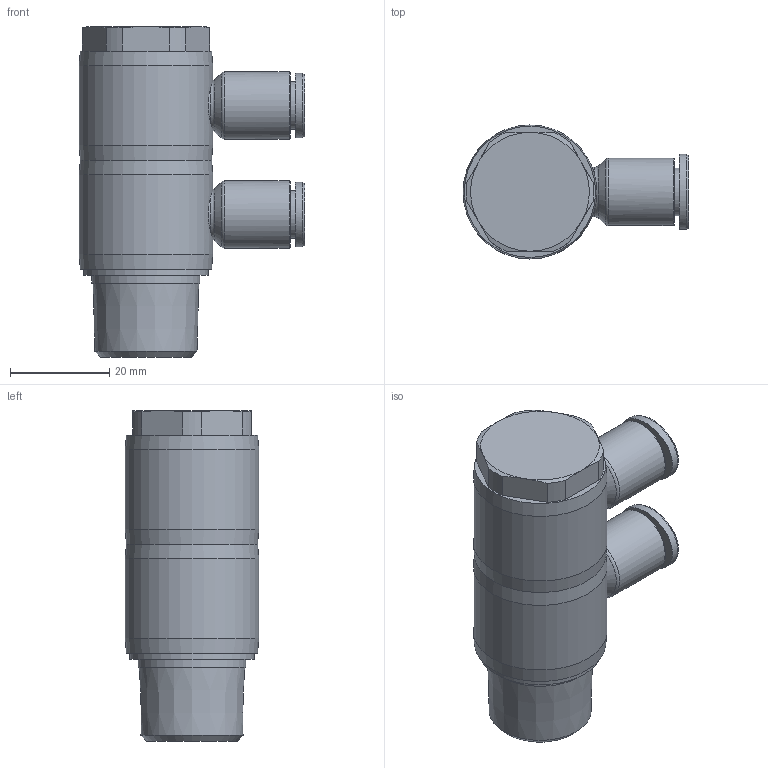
import cadquery as cq
import math

head_height = 4.95
head_across_flats = 24.0
head_corner_diameter = 25.8
head_chamfer_height = 0.25

body_count = 2
body_height = 22.0
body_radius = 13.5
body_end_radius = 13.25
body_taper_height = 3.0

stem_chamfer_radius = 9.2
stem_tip_radius = 10.3
stem_root_radius = 10.65
stem_chamfer_height = 1.2
flange_radius = 10.9
flange_bottom = 15.0
washer_radius = 12.6
washer_bottom = 16.55
bodies_bottom = 17.85
bodies_top = bodies_bottom + body_count * body_height

neck_radius = 5.0
cone_start = 13.5
cone_end = 15.5
cone_fillet = 1.0
sleeve_radius = 6.8
sleeve_end = 29.1
sleeve_end_fillet = 0.2
groove_radius = 4.8
collar_start = 30.15
collar_end = 32.1
collar_width = 15.2
collar_height = 13.0
collar_chamfer_length = 0.4
collar_chamfer_depth = 0.2


def make_stem():
    profile = [
        (0, 0),
        (stem_chamfer_radius, 0),
        (stem_tip_radius, stem_chamfer_height),
        (stem_root_radius, flange_bottom),
        (flange_radius, flange_bottom),
        (flange_radius, washer_bottom),
        (washer_radius, washer_bottom),
        (washer_radius, bodies_bottom),
        (0, bodies_bottom),
    ]
    return cq.Workplane("XZ").polyline(profile).close().revolve(360, (0, 0), (0, 1))


def make_body(bottom):
    top = bottom + body_height
    profile = [
        (0, bottom),
        (body_end_radius, bottom),
        (body_radius, bottom + body_taper_height),
        (body_radius, top - body_taper_height),
        (body_end_radius, top),
        (0, top),
    ]
    return cq.Workplane("XZ").polyline(profile).close().revolve(360, (0, 0), (0, 1))


def make_head():
    hexagon = (
        cq.Workplane("XY", origin=(0, 0, bodies_top))
        .polygon(6, head_across_flats / math.cos(math.pi / 6))
        .extrude(head_height)
    )
    corner_radius = head_corner_diameter / 2
    bevel_width = corner_radius - head_across_flats / 2
    blank = (
        cq.Workplane("XY", origin=(0, 0, bodies_top))
        .circle(corner_radius)
        .extrude(head_height)
        .faces(">Z")
        .edges()
        .chamfer(head_chamfer_height, bevel_width)
    )
    return hexagon.intersect(blank)


def make_outlet(height):
    profile = [
        (0, 0),
        (0, neck_radius),
        (cone_start, neck_radius),
        (cone_end, sleeve_radius),
        (sleeve_end, sleeve_radius),
        (sleeve_end, 0),
    ]
    sleeve = cq.Workplane("XY").polyline(profile).close().revolve(360, (0, 0), (1, 0))
    sleeve = sleeve.faces("%CONE").edges("%CIRCLE").fillet(cone_fillet)
    sleeve = sleeve.faces(">X").edges().fillet(sleeve_end_fillet)

    groove_core = (
        cq.Workplane("YZ", origin=(sleeve_end, 0, 0))
        .circle(groove_radius)
        .extrude(collar_start - sleeve_end)
    )
    collar = (
        cq.Workplane("YZ", origin=(collar_start, 0, 0))
        .ellipse(collar_width / 2, collar_height / 2)
        .extrude(collar_end - collar_start)
        .faces(">X")
        .edges()
        .chamfer(collar_chamfer_length, collar_chamfer_depth)
    )
    return sleeve.union(groove_core).union(collar).translate((0, 0, height))


result = make_stem().union(make_head())
for index in range(body_count):
    body_bottom = bodies_bottom + index * body_height
    result = result.union(make_body(body_bottom))
    result = result.union(make_outlet(body_bottom + body_height / 2))